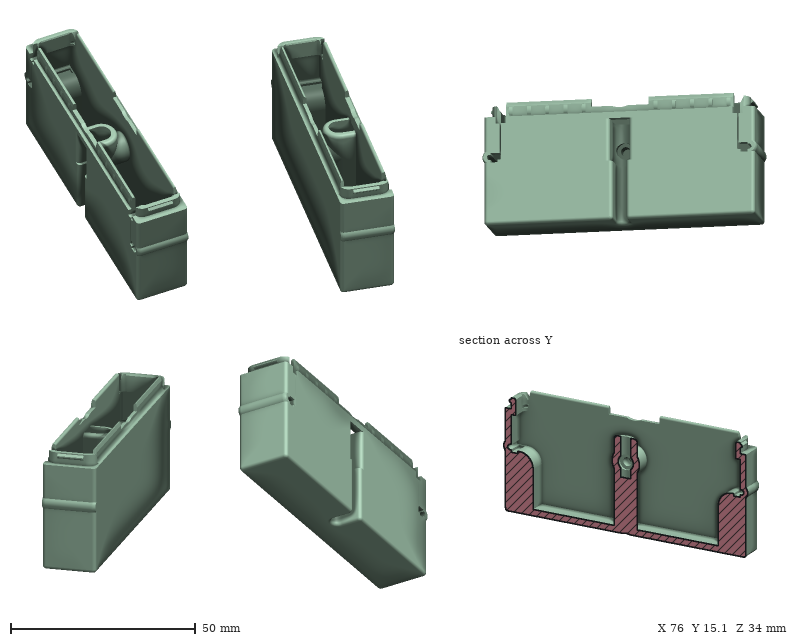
import cadquery as cq
import math

length = 75.95
depth = 15.1
height = 34.0
rim_z = 29.9
bead_projection = 0.5
corner_radius = 1.0
bottom_edge_radius = 0.9

half_body = length / 2 - bead_projection
half_depth = depth / 2

cavity_half_y = 5.4
floor_z = 2.0
shelf_end_x = 33.1
end_shelf_radius = 4.4
upper_cavity_z = 28.1

front_wall_y = 6.6
back_wall_y = 6.4
front_wall_half_x = 31.45
back_wall_half_x = 32.2
back_wall_slope_x = 32.9
back_wall_slope_z = 31.2
back_ledge_radius = half_depth - back_wall_y
gap_half_x = 7.9
gap_z = 31.8
dip_half_x = 2.2
dip_depth = 0.45
lip_bevel_height = 1.15
lip_bevel_depth = 0.3
lip_round = 0.6

rib_pitch = 5.05
rib_first_x = 9.95
rib_count = 5
rib_width = 1.1
rib_bottom_z = 30.4
rib_top_z = 32.7
rib_bulge = 0.3

flap_top_z = 33.1
flap_end_x = 33.0
flap_outer_radius = 2.6
flap_thickness = 1.45
flap_half_y = cavity_half_y + flap_thickness
flap_inner_radius = flap_outer_radius - flap_thickness
flap_outer_x = flap_end_x + flap_outer_radius
flap_inner_x = flap_end_x + flap_inner_radius
flap_bevel_height = 0.4
flap_bevel_depth = 0.2
flap_slope_x = 34.0
flap_slope_z = 31.2
corner_window_bottom_z = 29.0
corner_window_depth = 0.9

nub_half_y = 3.65
nub_projection = 0.6
nub_bottom_z = 31.45
nub_top_z = 32.8
nub_tip_low_z = 32.0
nub_tip_high_z = 32.3

bead_z = 18.8
bead_half_height = 1.45

slit_inner_x = 32.65
relief_bottom_z = 18.0
relief_top_z = 19.9
relief_step_x = 35.55
relief_tip_x = 36.6
relief_tip_top_z = 19.45
relief_corner_radius = 0.4
relief_pit_length = 1.9
relief_pit_depth = 0.7
relief_pit_inset = 0.4
tip_radius = (relief_tip_top_z - relief_bottom_z) / 2
tip_centre_x = relief_tip_x - tip_radius

groove_centre_y = -1.5
groove_radius = 1.9
groove_edge_radius = 1.0
recess_radius = 2.65
recess_edge_radius = 1.1
recess_bottom_z = 16.4
tube_top_z = 28.2
tube_radius = 4.3
tube_top_round = 1.1

boss_z = 20.7
boss_radius = 4.3
boss_round = 0.9
spotface_radius = 2.3
spotface_depth = 0.45
screw_radius = 1.3
screw_depth = 3.0


def block(x0, x1, y0, y1, z0, z1):
    return cq.Workplane("XY").box(x1 - x0, y1 - y0, z1 - z0, centered=False).translate((x0, y0, z0))


def both_ends(solid):
    return solid.union(solid.mirror("YZ"))


def extrude_y(profile, y0, y1):
    """Extrude a closed XZ profile from y0 to y1."""
    return profile.extrude(y0 - y1).translate((0, y0, 0))


def channel(radius, edge_radius, z0, z1):
    """U-shaped channel from the front face, with its front edges rounded over."""
    front = -half_depth
    mouth = radius + edge_radius
    edge_y = front + edge_radius
    diagonal = edge_radius * math.sqrt(0.5)
    bend_x = mouth - diagonal
    bend_y = edge_y - diagonal
    return (
        cq.Workplane("XY", origin=(0, 0, z0))
        .moveTo(-mouth, front)
        .threePointArc((-bend_x, bend_y), (-radius, edge_y))
        .lineTo(-radius, groove_centre_y)
        .threePointArc((0, groove_centre_y + radius), (radius, groove_centre_y))
        .lineTo(radius, edge_y)
        .threePointArc((bend_x, bend_y), (mouth, front))
        .close()
        .extrude(z1 - z0)
    )


def rounded_end_plan(half_x, half_y, radius, z0, z1):
    """Rectangle with four rounded corners, extruded upwards."""
    return block(-half_x, half_x, -half_y, half_y, z0, z1).edges("|Z").fillet(radius)


def outer_body():
    body = rounded_end_plan(half_body, half_depth, corner_radius, 0, rim_z)
    body = body.cut(channel(groove_radius, groove_edge_radius, 0, tube_top_z))
    return body.faces("<Z").edges().fillet(bottom_edge_radius)


def end_beads():
    """Bead across the end face that turns round both vertical corners."""
    axis_x = half_body - corner_radius
    axis_y = half_depth - corner_radius
    section = (
        cq.Sketch()
        .segment((0, -bead_half_height), (corner_radius, -bead_half_height))
        .arc(
            (corner_radius, -bead_half_height),
            (corner_radius + bead_projection, 0),
            (corner_radius, bead_half_height),
        )
        .segment((0, bead_half_height))
        .close()
        .assemble()
    )
    plane = cq.Workplane("XZ", origin=(axis_x, -axis_y, bead_z)).placeSketch(section)
    corner = plane.revolve(90, (0, 0, 0), (0, -1, 0))
    straight = plane.extrude(-2 * axis_y)
    envelope = block(-length, length, -half_depth, half_depth, 0, rim_z)
    bead = straight.union(corner).union(corner.mirror("XZ")).intersect(envelope)
    return both_ends(bead)


def wall_outline(end_foot_x, end_slope_z, end_top_x):
    return (
        cq.Workplane("XZ")
        .moveTo(-end_foot_x, upper_cavity_z)
        .lineTo(-end_foot_x, end_slope_z)
        .lineTo(-end_top_x, height)
        .lineTo(-gap_half_x, height)
        .lineTo(-gap_half_x, gap_z)
        .lineTo(-dip_half_x, gap_z)
        .threePointArc((0, gap_z - dip_depth), (dip_half_x, gap_z))
        .lineTo(gap_half_x, gap_z)
        .lineTo(gap_half_x, height)
        .lineTo(end_top_x, height)
        .lineTo(end_foot_x, end_slope_z)
        .lineTo(end_foot_x, upper_cavity_z)
        .close()
    )


def wall_section(outer_y):
    """YZ section of a rim wall, drawn for the +Y side."""
    round_mid = lip_round * (1 - math.sqrt(0.5))
    return (
        cq.Workplane("YZ", origin=(-half_body, 0, 0))
        .moveTo(cavity_half_y, upper_cavity_z)
        .lineTo(outer_y, upper_cavity_z)
        .lineTo(outer_y, height - lip_bevel_height)
        .lineTo(outer_y - lip_bevel_depth, height)
        .lineTo(cavity_half_y + lip_round, height)
        .threePointArc(
            (cavity_half_y + round_mid, height - round_mid),
            (cavity_half_y, height - lip_round),
        )
        .close()
        .extrude(2 * half_body)
    )


def front_wall():
    outline = wall_outline(front_wall_half_x, height - lip_bevel_height, front_wall_half_x)
    return extrude_y(outline, -half_depth, 0).intersect(wall_section(front_wall_y).mirror("XZ"))


def back_wall():
    outline = wall_outline(back_wall_slope_x, back_wall_slope_z, back_wall_half_x)
    return extrude_y(outline, 0, half_depth).intersect(wall_section(back_wall_y))


def back_ledge_fillet():
    """Concave fillet between the back rim and the back wall."""
    mid = back_ledge_radius * (1 - math.sqrt(0.5))
    return (
        cq.Workplane("YZ", origin=(-back_wall_slope_x, 0, 0))
        .moveTo(back_wall_y, rim_z)
        .lineTo(half_depth, rim_z)
        .threePointArc((back_wall_y + mid, rim_z + mid), (back_wall_y, rim_z + back_ledge_radius))
        .close()
        .extrude(2 * back_wall_slope_x)
    )


def ribs():
    rib = (
        cq.Workplane("YZ")
        .moveTo(-front_wall_y, rib_bottom_z)
        .threePointArc(
            (-front_wall_y - rib_bulge, (rib_bottom_z + rib_top_z) / 2),
            (-front_wall_y, rib_top_z),
        )
        .close()
        .extrude(rib_width / 2, both=True)
    )
    row = cq.Workplane("XY")
    for i in range(rib_count):
        row = row.union(rib.translate((rib_first_x + i * rib_pitch, 0, 0)))
    return both_ends(row)


def flaps():
    shell = rounded_end_plan(flap_outer_x, flap_half_y, flap_outer_radius, rim_z, flap_top_z)
    shell = shell.cut(block(-flap_end_x, flap_end_x, -half_depth, half_depth, rim_z, flap_top_z))
    slope = (
        cq.Workplane("XZ")
        .moveTo(flap_slope_x, flap_top_z)
        .lineTo(flap_end_x, flap_slope_z)
        .lineTo(flap_end_x, flap_top_z)
        .close()
    )
    bevel = (
        cq.Workplane("XZ")
        .moveTo(flap_inner_x, flap_top_z - flap_bevel_height)
        .lineTo(flap_inner_x + flap_bevel_depth, flap_top_z)
        .lineTo(flap_inner_x, flap_top_z)
        .close()
    )
    bevel_half_y = flap_half_y - flap_outer_radius
    shell = shell.cut(both_ends(extrude_y(bevel, -bevel_half_y, bevel_half_y)))
    return shell.cut(both_ends(extrude_y(slope, -half_depth, half_depth)))


def latch_nubs():
    tip_x = flap_outer_x + nub_projection
    root_x = flap_outer_x - flap_thickness / 2
    profile = (
        cq.Workplane("XZ")
        .moveTo(root_x, nub_bottom_z)
        .lineTo(flap_outer_x, nub_bottom_z)
        .lineTo(tip_x, nub_tip_low_z)
        .lineTo(tip_x, nub_tip_high_z)
        .lineTo(flap_outer_x, nub_top_z)
        .lineTo(root_x, nub_top_z)
        .close()
    )
    return both_ends(extrude_y(profile, -nub_half_y, nub_half_y))


def cavity_end():
    """Hollow of the +X half: rounded shelf, hinge channel and the space inside the end plate."""
    wall_top_z = relief_bottom_z - end_shelf_radius
    mid = end_shelf_radius * math.sqrt(0.5)
    profile = (
        cq.Workplane("XZ")
        .moveTo(0, floor_z)
        .lineTo(shelf_end_x - end_shelf_radius, floor_z)
        .lineTo(shelf_end_x - end_shelf_radius, wall_top_z)
        .threePointArc((shelf_end_x - mid, wall_top_z + mid), (shelf_end_x, relief_bottom_z))
        .lineTo(tip_centre_x, relief_bottom_z)
        .threePointArc((relief_tip_x, relief_bottom_z + tip_radius), (tip_centre_x, relief_tip_top_z))
        .lineTo(relief_step_x, relief_tip_top_z)
        .lineTo(relief_step_x, upper_cavity_z)
        .lineTo(0, upper_cavity_z)
        .close()
    )
    return extrude_y(profile, -cavity_half_y, cavity_half_y)


def tube():
    outline = (
        cq.Workplane("XY")
        .moveTo(-tube_radius, -cavity_half_y)
        .lineTo(-tube_radius, groove_centre_y)
        .threePointArc((0, groove_centre_y + tube_radius), (tube_radius, groove_centre_y))
        .lineTo(tube_radius, -cavity_half_y)
        .close()
        .extrude(tube_top_z)
    )
    top_edges = outline.faces(">Z").edges(cq.selectors.BoxSelector(
        (-tube_radius - 0.75, -cavity_half_y + 0.75, 0), (tube_radius + 0.75, half_depth, height)))
    return top_edges.fillet(tube_top_round)


def boss():
    cylinder = (
        cq.Workplane("XZ", origin=(0, cavity_half_y, boss_z))
        .circle(boss_radius)
        .extrude(cavity_half_y - groove_centre_y)
    )
    return cylinder.faces(">Y").edges().fillet(boss_round)


def cavity():
    lower = both_ends(cavity_end())
    upper = rounded_end_plan(flap_inner_x, cavity_half_y, flap_inner_radius, upper_cavity_z, height)
    return lower.union(upper).cut(tube()).cut(boss())


def screw_hole():
    seat_y = groove_centre_y + recess_radius + spotface_depth
    wall = cq.Workplane("XZ", origin=(0, seat_y, boss_z))
    spotface = wall.circle(spotface_radius).extrude(seat_y - groove_centre_y)
    hole = wall.circle(screw_radius).extrude(-screw_depth)
    return spotface.union(hole)


def end_reliefs():
    front = -half_depth
    inside = -cavity_half_y
    notch = block(front_wall_half_x, flap_inner_x, front, inside, upper_cavity_z, height)
    slit = block(slit_inner_x, shelf_end_x, front, inside, relief_bottom_z, upper_cavity_z)
    foot = block(slit_inner_x, relief_step_x, front, inside, relief_bottom_z, relief_top_z)
    upright = slit.union(foot).edges("|Y and <X and <Z").fillet(relief_corner_radius)
    tip = block(relief_step_x, tip_centre_x, front, inside, relief_bottom_z, relief_tip_top_z)
    tip_round = (
        cq.Workplane("XZ", origin=(tip_centre_x, front, relief_bottom_z + tip_radius))
        .circle(tip_radius)
        .extrude(front - inside)
    )
    pit = block(relief_step_x - relief_pit_length, relief_step_x, front, cavity_half_y - relief_pit_inset,
                relief_bottom_z - relief_pit_depth, relief_bottom_z)
    return both_ends(notch.union(upright).union(tip).union(tip_round).union(pit))


def corner_windows():
    return both_ends(block(flap_end_x, flap_inner_x, cavity_half_y - flap_inner_radius,
                           cavity_half_y + corner_window_depth, corner_window_bottom_z, rim_z))


result = (
    outer_body()
    .union(end_beads())
    .union(front_wall())
    .union(back_wall())
    .union(back_ledge_fillet())
    .union(ribs())
    .union(flaps())
    .cut(cavity())
    .union(latch_nubs())
    .cut(end_reliefs())
    .cut(corner_windows())
    .cut(channel(groove_radius, groove_edge_radius, corner_radius, recess_bottom_z))
    .cut(channel(recess_radius, recess_edge_radius, recess_bottom_z, tube_top_z))
    .cut(screw_hole())
)